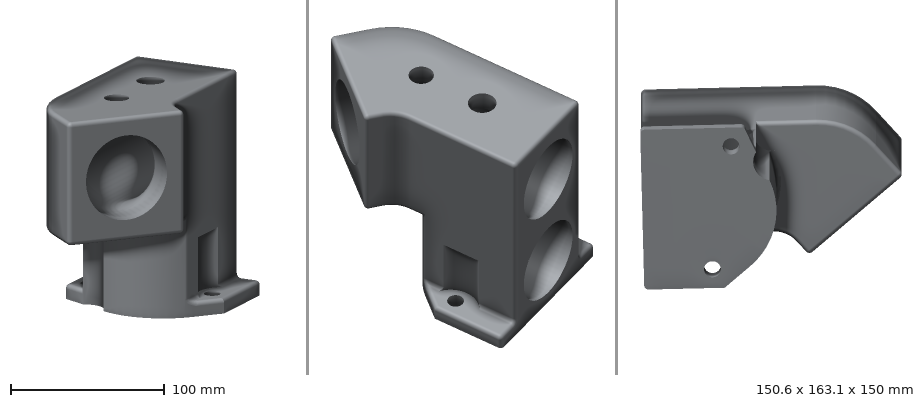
import cadquery as cq
import math

bend_angle = 50.0
part_top = 150.0
overhang_floor = 67.0
x_leg_width = 82.0
x_leg_end = 150.6
slant_leg_width = 75.0
end_face = -73.2
axis_offset = 114.1
outer_bend_radius = 50.0
inner_bend_radius = 19.9
edge_round = 3.0

foot_width = 108.5
foot_thickness = 10.0
foot_side_x = 115.5
foot_front_slope = math.tan(math.radians(16.5))
foot_front_point = (59.5, 47.9)
foot_corner_radius = 50.0
notch_center = (72.0, 44.5)
notch_diameter = 25.0

bore_diameter = 57.0
lower_bore_height = 37.0
upper_bore_height = 109.2
lower_bore_depth = 65.2
bore_bend_start = 26.2

top_holes = ((18.5, -21.5), (16.5, bore_bend_start))

screws = ((-1, -14.3), (1, -28.5))
screw_diameter = 11.0
screw_reach = 41.5
clearance_diameter = 37.5
clearance_reach = 50.0
clearance_shift = 1.8
clearance_top = 50.4

cosine = math.cos(math.radians(bend_angle))
sine = math.sin(math.radians(bend_angle))
leg_direction = cq.Vector(cosine, -sine, 0)
half_leg = slant_leg_width / 2
half_foot = foot_width / 2
touch_tolerance = 0.02


def on_leg(along, across):
    """XY point at a place along the slanted axis and a distance to its upper right."""
    offset = axis_offset + across
    return (cosine * along + sine * offset, cosine * offset - sine * along)


def along_at_y(across, y):
    """Place along the leg where a line parallel to its axis reaches the given Y."""
    return (cosine * (axis_offset + across) - y) / sine


def prism(points, bottom, top):
    return cq.Workplane("XY", origin=(0, 0, bottom)).polyline(points).close().extrude(top - bottom)


def cylinder(center, diameter, bottom, top):
    return cq.Workplane("XY", origin=(*center, bottom)).circle(diameter / 2).extrude(top - bottom)


def round_upright_edge(body, point, radius):
    """Round the vertical edge that stands nearest to an XY point."""
    middle_height = body.val().Center().z
    return body.edges("|Z").edges(cq.NearestToPointSelector((*point, middle_height))).fillet(radius)


def make_elbow():
    outer_corner = on_leg(along_at_y(-half_leg, 0), -half_leg)
    inner_corner = on_leg(along_at_y(half_leg, x_leg_width), half_leg)
    outline = [
        on_leg(end_face, -half_leg),
        outer_corner,
        (x_leg_end, 0),
        (x_leg_end, x_leg_width),
        inner_corner,
        on_leg(end_face, half_leg),
    ]
    block = prism(outline, overhang_floor, part_top)
    block = round_upright_edge(block, outer_corner, outer_bend_radius)
    return round_upright_edge(block, inner_corner, inner_bend_radius)


def foot_front_y(x):
    return foot_front_point[1] + foot_front_slope * (x - foot_front_point[0])


near_tip_x = (axis_offset - half_foot - cosine * foot_front_y(0)) / (sine + cosine * foot_front_slope)
near_tip = (near_tip_x, foot_front_y(near_tip_x))
far_tip = (foot_side_x, (axis_offset + half_foot - sine * foot_side_x) / cosine)


def make_footprint(height):
    round_corner = (foot_side_x, foot_front_y(foot_side_x))
    outline = [
        on_leg(end_face, -half_foot),
        near_tip,
        round_corner,
        far_tip,
        on_leg(end_face, half_foot),
    ]
    return round_upright_edge(prism(outline, 0, height), round_corner, foot_corner_radius)


def make_pillar():
    """The part of the slanted leg below the overhang that stands on the footprint."""
    leg_end = along_at_y(-half_leg, 0)
    leg_outline = [
        on_leg(end_face, -half_leg),
        on_leg(leg_end, -half_leg),
        on_leg(leg_end, half_leg),
        on_leg(end_face, half_leg),
    ]
    return prism(leg_outline, 0, overhang_floor).intersect(make_footprint(overhang_floor))


def cut_screw_clearance(body, side, place):
    center = on_leg(place - side * clearance_shift, side * clearance_reach)
    return body.cut(cylinder(center, clearance_diameter, foot_thickness, clearance_top))


def edges_at_height(body, z):
    def is_level(edge):
        box = edge.BoundingBox()
        return max(abs(box.zmin - z), abs(box.zmax - z)) < touch_tolerance

    return body.edges().filter(is_level)


def round_and_relieve(body, pillar):
    def pillar_gap(edge):
        middle = cq.Vertex.makeVertex(*edge.positionAt(0.5).toTuple())
        return pillar.val().distance(middle)

    def on_pillar(edge):
        return pillar_gap(edge) < touch_tolerance

    def off_pillar(edge):
        return pillar_gap(edge) > edge_round + touch_tolerance

    def is_pillar_end(edge):
        return edge.geomType() == "CIRCLE" and abs(edge.radius() - foot_corner_radius) < touch_tolerance

    wall_feet = edges_at_height(body, foot_thickness).edges(cq.ParallelDirSelector(leg_direction))
    body = wall_feet.filter(on_pillar).fillet(edge_round)

    for side, place in screws:
        body = cut_screw_clearance(body, side, place)

    outer_edges = (
        body.faces(cq.DirectionMinMaxSelector(leg_direction, False)).edges("not <Z")
        .add(body.faces(">Z or >X").edges())
        .add(edges_at_height(body, overhang_floor).filter(off_pillar))
        .add(edges_at_height(body, foot_thickness).edges("%LINE").filter(off_pillar))
        .add(body.edges(cq.NearestToPointSelector((*near_tip, foot_thickness / 2))))
    )
    body = outer_edges.fillet(edge_round)

    body = body.cut(cylinder(notch_center, notch_diameter, 0, overhang_floor))

    pillar_top = edges_at_height(body, overhang_floor).filter(on_pillar)
    return pillar_top.filter(is_pillar_end).fillet(edge_round)


def bore_profile(height):
    plane = cq.Plane(origin=(*on_leg(end_face, 0), height), xDir=(sine, cosine, 0), normal=leg_direction)
    return cq.Workplane(plane).circle(bore_diameter / 2)


def make_upper_bore():
    """Round passage along the slanted leg, through the bend and out of the X leg's middle."""
    bend_start = on_leg(bore_bend_start, 0)
    exit_y = x_leg_width / 2
    bend_radius = (bend_start[1] - exit_y) / (1 - cosine)
    bend_end = (bend_start[0] + bend_radius * sine, exit_y)
    half_bend = math.radians(bend_angle / 2)
    bend_middle = (
        bend_end[0] - bend_radius * math.sin(half_bend),
        exit_y + bend_radius * (1 - math.cos(half_bend)),
    )
    path = (
        cq.Workplane("XY", origin=(0, 0, upper_bore_height))
        .moveTo(*on_leg(end_face, 0))
        .lineTo(*bend_start)
        .threePointArc(bend_middle, bend_end)
        .lineTo(x_leg_end, exit_y)
    )
    return bore_profile(upper_bore_height).sweep(path)


def drill_foot(body, side, place):
    return body.cut(cylinder(on_leg(place, side * screw_reach), screw_diameter, 0, foot_thickness))


pillar = make_pillar()
part = make_elbow().union(pillar).union(make_footprint(foot_thickness)).clean()
part = round_and_relieve(part, pillar)
part = part.cut(bore_profile(lower_bore_height).extrude(lower_bore_depth))
part = part.cut(make_upper_bore())
for diameter, place in top_holes:
    part = part.cut(cylinder(on_leg(place, 0), diameter, upper_bore_height, part_top))
for side, place in screws:
    part = drill_foot(part, side, place)

result = part